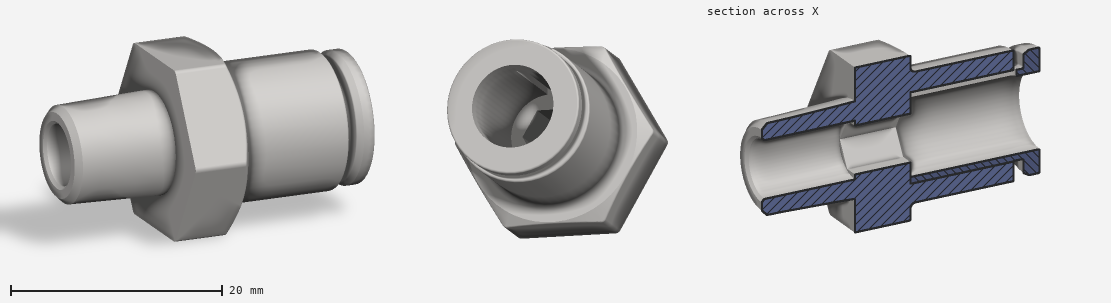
import cadquery as cq
import math


total_length = 30.05
thread_length = 10.07
hex_thickness = 6.05
barrel_end = 27.25
flange_thickness = 1.77

thread_root_radius = 5.05
taper_per_length = 1 / 32
tip_chamfer = 0.6

hex_across_flats = 17.0
hex_corner_fillet = 0.5
hex_edge_fillet = 0.2
hex_cone_top_radius = 8.38
hex_chamfer_angle = math.radians(30)

barrel_radius = 6.75
barrel_base_fillet = 0.5
rim_fillet = 0.18

bore_radius = 3.0
bore_chamfer = 0.3
key_across_flats = 5.0

neck_radius = 4.7
tube_radius = 4.0
flange_radius = 6.5
flange_straight_length = 1.15
flange_cone_angle = math.radians(30)
flange_edge_fillet = 0.15
neck_fillet = 0.18
slot_width = 0.8
slot_overhang = 0.25

hex_end = thread_length + hex_thickness
flange_start = total_length - flange_thickness
flange_cone_start = total_length - flange_straight_length
thread_tip_radius = thread_root_radius - taper_per_length * (thread_length - tip_chamfer)


def revolve_about_y(points):
    """Revolve a closed outline of (radius, Y) points about the Y axis."""
    return cq.Workplane("XY").polyline(points).close().revolve(360, (0, 0, 0), (0, 1, 0))


def cylinder(radius, start, end):
    """Round bar along Y."""
    return cq.Workplane("XZ", origin=(0, start, 0)).circle(radius).extrude(start - end)


def hexagon(across_flats, start, end):
    """Hexagonal bar along Y with two corners on the X axis."""
    across_corners = across_flats / math.cos(math.pi / 6)
    return cq.Workplane("XZ", origin=(0, start, 0)).polygon(6, across_corners).extrude(start - end)


def make_thread():
    return revolve_about_y([
        (0, 0),
        (thread_tip_radius - tip_chamfer, 0),
        (thread_tip_radius, tip_chamfer),
        (thread_root_radius, thread_length),
        (0, thread_length),
    ])


def make_hex():
    """Wrench hexagon, coned on the barrel side from a circle just inside the flats."""
    prism = hexagon(hex_across_flats, thread_length, hex_end).edges("|Y").fillet(hex_corner_fillet)
    cone_base_radius = hex_cone_top_radius + hex_thickness / math.tan(hex_chamfer_angle)
    cone = revolve_about_y([
        (0, thread_length),
        (cone_base_radius, thread_length),
        (hex_cone_top_radius, hex_end),
        (0, hex_end),
    ])
    coned_prism = prism.intersect(cone)
    cone_edges = coned_prism.faces("%CONE").edges()
    return coned_prism.newObject(cone_edges.edges("not %CIRCLE").vals()).fillet(hex_edge_fillet)


def make_barrel():
    """Round barrel with a rounded rim and a fillet where it meets the hexagon."""
    base = (barrel_radius + barrel_base_fillet, hex_end)
    fillet_top = (barrel_radius, hex_end + barrel_base_fillet)
    inset = barrel_base_fillet * (1 - math.sqrt(0.5))
    fillet_middle = (barrel_radius + inset, hex_end + inset)
    return (
        cq.Workplane("XY")
        .moveTo(0, hex_end)
        .lineTo(*base)
        .threePointArc(fillet_middle, fillet_top)
        .lineTo(barrel_radius, barrel_end)
        .lineTo(0, barrel_end)
        .close()
        .revolve(360, (0, 0, 0), (0, 1, 0))
        .faces(">Y").edges().fillet(rim_fillet)
    )


def make_body():
    """Threaded body: round bore, then hexagonal key socket, then the sleeve recess."""
    bore = cylinder(bore_radius, 0, thread_length)
    bore_mouth = revolve_about_y([
        (0, 0),
        (bore_radius + bore_chamfer, 0),
        (bore_radius, bore_chamfer),
        (0, bore_chamfer),
    ])
    key_socket = hexagon(key_across_flats, thread_length, hex_end)
    sleeve_recess = cylinder(neck_radius, hex_end, barrel_end)
    return (
        make_thread().union(make_hex()).union(make_barrel())
        .cut(bore).cut(bore_mouth).cut(key_socket).cut(sleeve_recess)
    )


def make_sleeve():
    """Release sleeve: slotted neck seated in the body, with a flange outside it."""
    flange_taper = (flange_cone_start - flange_start) * math.tan(flange_cone_angle)
    flange = revolve_about_y([
        (0, flange_start),
        (flange_radius - flange_taper, flange_start),
        (flange_radius, flange_cone_start),
        (flange_radius, total_length),
        (0, total_length),
    ])
    flange = flange.faces(">Y").edges().fillet(rim_fillet)
    flange = flange.faces("<Y").edges().fillet(flange_edge_fillet)
    sleeve = cylinder(neck_radius, hex_end, flange_start).union(flange)
    neck_corner = cq.selectors.RadiusNthSelector(0)
    sleeve = sleeve.faces("<Y[1]").edges(neck_corner).fillet(neck_fillet)

    slot_center = barrel_end + slot_overhang - slot_width / 2
    slot = (
        cq.Workplane("XY")
        .moveTo(-slot_width / 2, hex_end)
        .lineTo(slot_width / 2, hex_end)
        .lineTo(slot_width / 2, slot_center)
        .threePointArc((0, slot_center + slot_width / 2), (-slot_width / 2, slot_center))
        .close()
        .extrude(neck_radius)
    )
    return sleeve.cut(cylinder(tube_radius, hex_end, total_length)).cut(slot)


body = make_body()
sleeve = make_sleeve()

result = cq.Compound.makeCompound([body.val(), sleeve.val()])